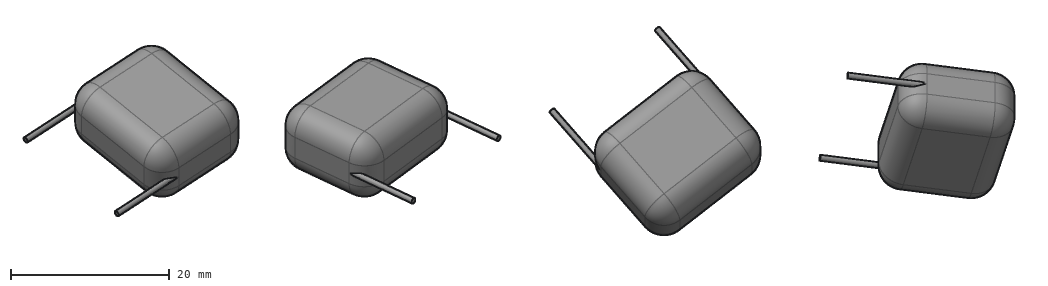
import cadquery as cq

body_width = 18.0
body_depth = 15.0
body_height = 9.5
edge_radius = 3.12

overall_depth = 22.0
lead_diameter = 0.8
lead_embed = edge_radius

lead_exposed = overall_depth - body_depth
lead_radius = lead_diameter / 2
lead_offset = body_width / 2 - lead_radius


def make_body():
    block = cq.Workplane("XY").box(body_width, body_depth, body_height)
    return block.edges().fillet(edge_radius)


def make_lead(x):
    """Round wire starting inside the body and ending beyond its -Y face."""
    start_y = -body_depth / 2 + lead_embed
    return (
        cq.Workplane("XZ", origin=(x, start_y, 0))
        .circle(lead_radius)
        .extrude(lead_embed + lead_exposed)
    )


result = make_body()
for side in (-1, 1):
    result = result.union(make_lead(side * lead_offset))